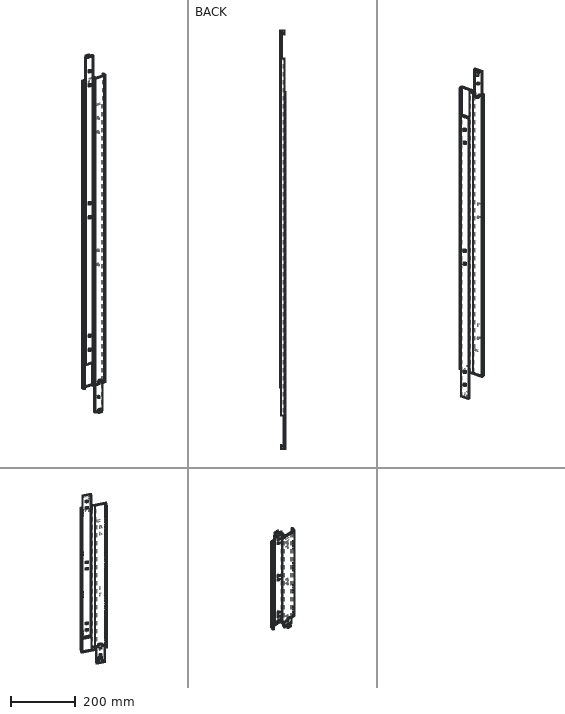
import cadquery as cq

TOTAL_LENGTH = 1289.0
TOTAL_DEPTH = 17.0
TOTAL_WIDTH = 80.0
MEMBER_LENGTH = 1099.0

CARRIER_DEPTH = 12.0
CARRIER_TOP_Z = 558.0
WEB_THICKNESS = 3.2
FLANGE_THICKNESS = 4.0
CORE_WIDTH = 10.0

RAIL_THICKNESS = 6.0
RAIL_INNER_X = TOTAL_DEPTH / 2 - RAIL_THICKNESS
CHANNEL_WIDTH = (TOTAL_WIDTH - CORE_WIDTH) / 2 - FLANGE_THICKNESS
CHANNEL_Y = (CORE_WIDTH + CHANNEL_WIDTH) / 2
RAIL_CLEARANCE = 1.9
RAIL_WIDTH = CHANNEL_WIDTH - 2 * RAIL_CLEARANCE
RAIL_GROOVE_RADIUS = 1.5

HOLE_DIAMETER = 5.0
COUNTERSINK_DIAMETER = 8.5
HOLE_PITCH = 50.0
HOLE_END_DISTANCE = 50.0
HOLE_PAIRS = 3

STOP_ROOT_WIDTH = 8.0
STOP_ROOT_HEIGHT = 8.0
STOP_TIP_WIDTH = 13.0
STOP_TIP_HEIGHT = 13.0


def box_between(x_range, y_range, z_range):
    """Box spanning the given low and high limits on each axis."""
    corner = (x_range[0], y_range[0], z_range[0])
    size = (x_range[1] - x_range[0], y_range[1] - y_range[0], z_range[1] - z_range[0])
    return cq.Workplane("XY").box(*size, centered=False).translate(corner)


def stop_outline(side, end_z, width, height, x):
    """Closed outline at depth x of a tongue with a round tip, pointing from end_z into the member.

    Side +1 starts at an upper end, side -1 at a lower end.
    """
    y_center = -side * CHANNEL_Y
    radius = width / 2
    shoulder_z = end_z - side * (height - radius)
    tip_z = end_z - side * height
    return (
        cq.Workplane("YZ", origin=(x, 0, 0))
        .moveTo(y_center - radius, end_z)
        .lineTo(y_center - radius, shoulder_z)
        .threePointArc((y_center, tip_z), (y_center + radius, shoulder_z))
        .lineTo(y_center + radius, end_z)
        .close()
    )


def make_carrier():
    """S-shaped carrier whose channels open toward +X (at -Y) and -X (at +Y)."""
    half_depth = CARRIER_DEPTH / 2
    half_width = TOTAL_WIDTH / 2
    z_range = (CARRIER_TOP_Z - MEMBER_LENGTH, CARRIER_TOP_Z)
    carrier = box_between((-half_depth, half_depth), (-half_width, half_width), z_range)
    for side, end_z in ((1, z_range[1]), (-1, z_range[0])):
        x_limits = sorted((side * (WEB_THICKNESS - half_depth), side * half_depth))
        y_center = -side * CHANNEL_Y
        y_limits = (y_center - CHANNEL_WIDTH / 2, y_center + CHANNEL_WIDTH / 2)
        carrier = carrier.cut(box_between(x_limits, y_limits, z_range))
        outer_x = -side * half_depth
        notch = stop_outline(side, end_z, STOP_TIP_WIDTH, STOP_TIP_HEIGHT, outer_x)
        notch = notch.extrude(side * WEB_THICKNESS)
        carrier = carrier.cut(notch)
    return carrier


def make_rail_bar(side, z_limits):
    """Plain rail bar with a round ball groove along each edge."""
    x_limits = sorted((side * RAIL_INNER_X, side * TOTAL_DEPTH / 2))
    y_center = -side * CHANNEL_Y
    y_limits = (y_center - RAIL_WIDTH / 2, y_center + RAIL_WIDTH / 2)
    grooves = (
        cq.Workplane("XY", origin=(0, 0, z_limits[0]))
        .pushPoints([(sum(x_limits) / 2, edge_y) for edge_y in y_limits])
        .circle(RAIL_GROOVE_RADIUS)
        .extrude(MEMBER_LENGTH)
    )
    return box_between(x_limits, y_limits, z_limits).cut(grooves)


def make_rail_stop(side, end_z):
    """Stop that crosses the channel and ends level with the outer face of the carrier web."""
    root = stop_outline(side, end_z, STOP_ROOT_WIDTH, STOP_ROOT_HEIGHT, side * RAIL_INNER_X)
    tip = stop_outline(side, end_z, STOP_TIP_WIDTH, STOP_TIP_HEIGHT, -side * CARRIER_DEPTH / 2)
    return cq.Workplane(cq.Solid.makeLoft([root.val(), tip.val()], True))


def make_screw_holes(side, end_z):
    """Holes countersunk from the outer face of a rail, all as one cutter."""
    pair_pitch = (MEMBER_LENGTH - 2 * HOLE_END_DISTANCE - HOLE_PITCH) / (HOLE_PAIRS - 1)
    hole_radius = HOLE_DIAMETER / 2
    sink_radius = COUNTERSINK_DIAMETER / 2
    sink_depth = sink_radius - hole_radius
    inward = cq.Vector(-side, 0, 0)
    holes = cq.Workplane("XY")
    for pair in range(HOLE_PAIRS):
        for step in range(2):
            distance = HOLE_END_DISTANCE + pair * pair_pitch + step * HOLE_PITCH
            start = cq.Vector(side * TOTAL_DEPTH / 2, -side * CHANNEL_Y, end_z - side * distance)
            holes = holes.add(cq.Solid.makeCylinder(hole_radius, RAIL_THICKNESS, start, inward))
            holes = holes.add(cq.Solid.makeCone(sink_radius, hole_radius, sink_depth, start, inward))
    return holes.combine()


def make_rail(side):
    """Rail drawn out upward at -Y (side +1) or downward at +Y (side -1)."""
    outer_end_z = side * TOTAL_LENGTH / 2
    inner_end_z = outer_end_z - side * MEMBER_LENGTH
    rail = make_rail_bar(side, sorted((inner_end_z, outer_end_z)))
    rail = rail.union(make_rail_stop(side, outer_end_z))
    return rail.cut(make_screw_holes(side, outer_end_z))


carrier = make_carrier()
rails = [make_rail(side) for side in (1, -1)]

result = cq.Compound.makeCompound([carrier.val(), *[rail.val() for rail in rails]])